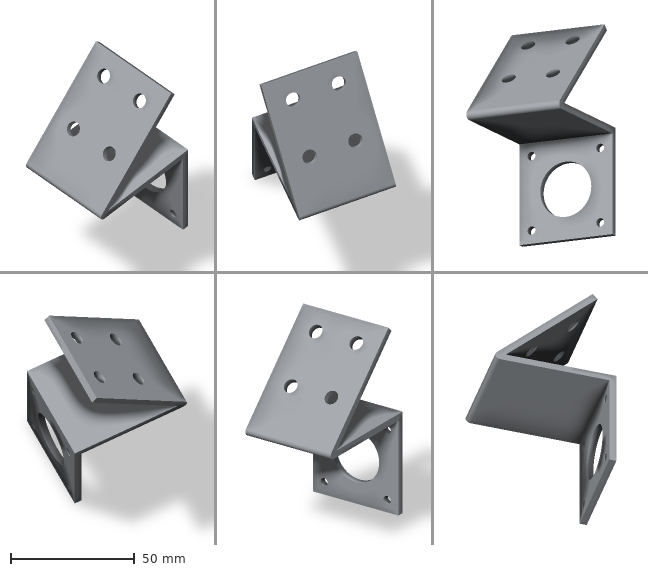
import cadquery as cq
import math

width = 42.0
depth = 51.1
height = 85.9
thickness = 3.0
drop = 45.0
bend_angle = 45.0
bend_radius = 2.0

bore_diameter = 23.0
screw_diameter = 3.5
screw_spacing = 31.0

slope_hole_diameter = 6.0
slope_hole_spacing_x = 20.0
slope_hole_spacing = 25.0
slope_hole_end_distance = 10.0

angle = math.radians(bend_angle)
half_tan = math.tan(angle / 2)
shelf_bottom = drop - thickness
sharp_y = -depth - bend_radius * (1 / half_tan - 1)
inner_y = sharp_y + thickness / half_tan
slope_top_y = sharp_y + (height - shelf_bottom) / math.tan(angle)
end_dy = thickness * math.sin(angle)
end_dz = thickness * math.cos(angle)


def make_body():
    outline = [
        (0, 0),
        (0, drop),
        (inner_y, drop),
        (slope_top_y + end_dy, height - end_dz),
        (slope_top_y, height),
        (sharp_y, shelf_bottom),
        (-thickness, shelf_bottom),
        (-thickness, 0),
    ]
    body = cq.Workplane("YZ").polyline(outline).close().extrude(width / 2, both=True)
    return body.edges("<Y").fillet(bend_radius)


def make_motor_holes():
    face = cq.Workplane("XZ", origin=(0, 0, width / 2))
    bore = face.circle(bore_diameter / 2).extrude(thickness)
    screws = (
        face.rect(screw_spacing, screw_spacing, forConstruction=True)
        .vertices()
        .circle(screw_diameter / 2)
        .extrude(thickness)
    )
    return bore.union(screws)


def make_slope_holes():
    center_distance = slope_hole_end_distance + slope_hole_spacing / 2
    center = (
        0,
        slope_top_y - center_distance * math.cos(angle),
        height - center_distance * math.sin(angle),
    )
    outward = (0, -math.sin(angle), math.cos(angle))
    outer_face = cq.Plane(origin=center, xDir=(1, 0, 0), normal=outward)
    return (
        cq.Workplane(outer_face)
        .rect(slope_hole_spacing_x, slope_hole_spacing, forConstruction=True)
        .vertices()
        .circle(slope_hole_diameter / 2)
        .extrude(-thickness)
    )


result = make_body().cut(make_motor_holes()).cut(make_slope_holes())